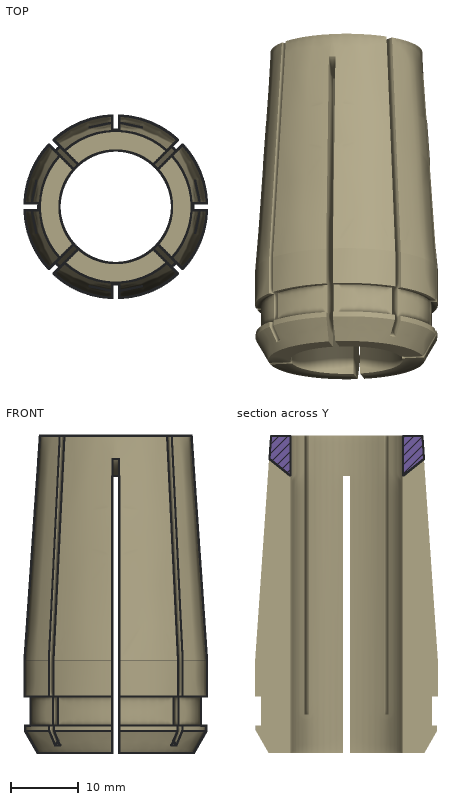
import cadquery as cq

height = 46.85
body_radius = 13.5
top_radius = 11.2
bore_radius = 8.3

cone_base_z = 13.65
body_base_z = 8.35
groove_radius = 12.6
rim_radius = 13.4
rim_top_z = 4.05
rim_base_z = 3.3
bottom_radius = 11.5

slot_width = 1.0
slots_per_set = 4
slot_spacing = 360 / slots_per_set
slot_reach = 1.2 * body_radius

lower_slot_bore_z = 40.85
lower_slot_outer_z = 43.37
upper_slot_bore_z = 5.6
upper_slot_outer_z = 1.1


def cone_radius(z):
    """Outer radius of the long taper at level z."""
    slope = (body_radius - top_radius) / (height - cone_base_z)
    return top_radius + slope * (height - z)


def rim_chamfer_radius(z):
    """Outer radius of the bevel below the rim at level z."""
    return bottom_radius + (rim_radius - bottom_radius) * z / rim_base_z


def slot_cutter(open_z, bore_z, outer_z, outer_radius):
    """Radial blade along +X, from open_z to an end sloping between bore and outside."""
    slope = (outer_z - bore_z) / (outer_radius - bore_radius)

    def end_z(radius):
        return bore_z + slope * (radius - bore_radius)

    start = bore_radius / 2
    profile = [
        (start, open_z),
        (slot_reach, open_z),
        (slot_reach, end_z(slot_reach)),
        (start, end_z(start)),
    ]
    return cq.Workplane("XZ").polyline(profile).close().extrude(slot_width / 2, both=True)


def cut_slots(body, cutter, first_angle):
    for i in range(slots_per_set):
        angle = first_angle + i * slot_spacing
        body = body.cut(cutter.rotate((0, 0, 0), (0, 0, 1), angle))
    return body


section = [
    (bore_radius, 0),
    (bottom_radius, 0),
    (rim_radius, rim_base_z),
    (rim_radius, rim_top_z),
    (groove_radius, rim_top_z),
    (groove_radius, body_base_z),
    (body_radius, body_base_z),
    (body_radius, cone_base_z),
    (top_radius, height),
    (bore_radius, height),
]
sleeve = cq.Workplane("XZ").polyline(section).close().revolve(360, (0, 0, 0), (0, 1, 0))

lower_slot_end_radius = cone_radius(lower_slot_outer_z)
lower_cutter = slot_cutter(0, lower_slot_bore_z, lower_slot_outer_z, lower_slot_end_radius)
sleeve = cut_slots(sleeve, lower_cutter, 0)

upper_slot_end_radius = rim_chamfer_radius(upper_slot_outer_z)
upper_cutter = slot_cutter(height, upper_slot_bore_z, upper_slot_outer_z, upper_slot_end_radius)
result = cut_slots(sleeve, upper_cutter, slot_spacing / 2)